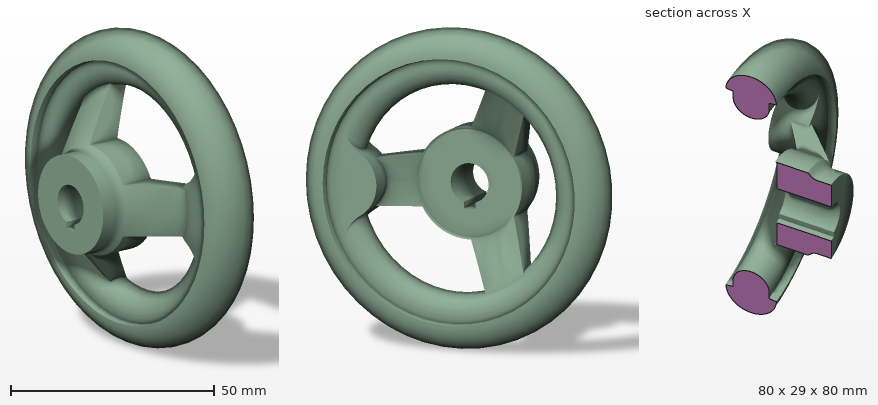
import cadquery as cq
import math


rim_centre_radius = 33.0
rim_section_radius = 7.0
core_centre_radius = 31.0
core_section_radius = 5.0
core_front_y = -core_section_radius
step_taper = 0.3

hub_projection = 15.0
hub_front_y = -rim_section_radius - hub_projection
hub_back_y = -7.0
hub_radius = 14.0
nose_radius = 12.5
nose_fillet = 2.4

cone_root_y = -17.1
cone_end_radius = 24.3

bore_radius = 5.0
key_width = 3.0
key_height = 11.4

spoke_count = 3
spoke_root_radius = 10.0
spoke_root_half_width = 6.7
spoke_tip_radius = 28.5
spoke_tip_half_width = 5.4
spoke_back_root_radius = 13.5
spoke_tip_back_y = 4.0

boss_x = 29.1
boss_radius = 9.2
boss_blend_radius = 8.7
boss_blend_z = 15.2
boss_back_y = core_section_radius


def revolve_about_axle(profile):
    """Turn a (radius, Y) outline fully around the Y axis."""
    return profile.close().revolve(360, (0, 0, 0), (0, 1, 0))


def extrude_along_y(outline, start_y, end_y):
    """Extrude a closed outline drawn on make_plan() between two Y positions."""
    return outline.extrude(end_y - start_y).translate((0, start_y, 0))


def make_plan():
    """Sketch plane whose coordinates are (Z, X) and whose normal is +Y."""
    return cq.Workplane(cq.Plane(origin=(0, 0, 0), xDir=(0, 0, 1), normal=(0, 1, 0)))


def make_rim():
    """Round rim whose inner half is stepped down to the core ring on both faces."""
    mouth_radius = rim_centre_radius + step_taper
    mouth_y = math.sqrt(rim_section_radius**2 - step_taper**2)
    profile = (
        cq.Workplane("XY")
        .moveTo(mouth_radius, -mouth_y)
        .threePointArc(
            (rim_centre_radius + rim_section_radius, 0),
            (mouth_radius, mouth_y),
        )
        .lineTo(rim_centre_radius, core_section_radius)
        .lineTo(core_centre_radius, core_section_radius)
        .threePointArc(
            (core_centre_radius - core_section_radius, 0),
            (core_centre_radius, core_front_y),
        )
        .lineTo(rim_centre_radius, core_front_y)
    )
    return revolve_about_axle(profile)


def cone_y(radius):
    """Y of the conical front at a given radius."""
    slope = (core_front_y - cone_root_y) / (cone_end_radius - nose_radius)
    return cone_root_y + slope * (radius - nose_radius)


def make_blank():
    """Hub and a full web in one turned piece, with a hollow fillet behind the nose."""
    cone_angle = math.atan2(cone_end_radius - nose_radius, core_front_y - cone_root_y)
    tangent_length = nose_fillet * math.tan(cone_angle / 2)
    fillet_start = (nose_radius, cone_root_y - tangent_length)
    fillet_end_radius = nose_radius + tangent_length * math.sin(cone_angle)
    fillet_end = (fillet_end_radius, cone_y(fillet_end_radius))
    profile = (
        cq.Workplane("XY")
        .moveTo(0, hub_front_y)
        .lineTo(nose_radius, hub_front_y)
        .lineTo(*fillet_start)
        .tangentArcPoint(fillet_end, relative=False)
        .lineTo(spoke_tip_radius, cone_y(spoke_tip_radius))
        .lineTo(spoke_tip_radius, spoke_tip_back_y)
        .lineTo(spoke_back_root_radius, hub_back_y)
        .lineTo(0, hub_back_y)
    )
    return revolve_about_axle(profile)


def make_windows():
    """Cutter for the openings between the spokes."""
    end_y = rim_section_radius
    ring = make_plan().circle(rim_centre_radius).circle(hub_radius)
    windows = extrude_along_y(ring, hub_front_y, end_y)
    outline = (
        make_plan()
        .moveTo(-spoke_root_half_width, spoke_root_radius)
        .lineTo(spoke_root_half_width, spoke_root_radius)
        .lineTo(spoke_tip_half_width, rim_centre_radius)
        .lineTo(-spoke_tip_half_width, rim_centre_radius)
        .close()
    )
    spoke_plan = extrude_along_y(outline, hub_front_y, end_y)
    for index in range(spoke_count):
        angle = index * 360 / spoke_count
        windows = windows.cut(spoke_plan.rotate((0, 0, 0), (0, 1, 0), angle))
    return windows


def make_boss():
    """Flat handle boss, level with the front of the core ring."""
    centre_distance = boss_radius + boss_blend_radius
    blend_x = boss_x - math.sqrt(centre_distance**2 - boss_blend_z**2)
    share = boss_radius / centre_distance
    tangent_x = boss_x + share * (blend_x - boss_x)
    tangent_z = share * boss_blend_z
    blend_end_x = blend_x + boss_blend_radius
    middle_angle = math.atan2(tangent_z - boss_blend_z, tangent_x - blend_x) / 2
    blend_middle_x = blend_x + boss_blend_radius * math.cos(middle_angle)
    blend_middle_z = boss_blend_z + boss_blend_radius * math.sin(middle_angle)
    corner_z = math.sqrt(rim_centre_radius**2 - blend_end_x**2)
    outline = (
        make_plan()
        .moveTo(corner_z, blend_end_x)
        .lineTo(boss_blend_z, blend_end_x)
        .threePointArc((blend_middle_z, blend_middle_x), (tangent_z, tangent_x))
        .threePointArc((0, boss_x - boss_radius), (-tangent_z, tangent_x))
        .threePointArc((-blend_middle_z, blend_middle_x), (-boss_blend_z, blend_end_x))
        .lineTo(-corner_z, blend_end_x)
        .threePointArc((0, rim_centre_radius), (corner_z, blend_end_x))
        .close()
    )
    return extrude_along_y(outline, core_front_y, boss_back_y)


def make_keyed_bore():
    """Cutter for the bore and its keyway on the -Z side."""
    length = hub_back_y - hub_front_y
    key_depth = key_height - bore_radius
    bore = extrude_along_y(make_plan().circle(bore_radius), hub_front_y, hub_back_y)
    keyway = cq.Workplane("XY").box(key_width, length, key_depth, centered=(True, False, False))
    return bore.union(keyway.translate((0, hub_front_y, -key_depth)))


centre = make_blank().cut(make_windows())
wheel = make_rim().union(centre).union(make_boss())
result = wheel.cut(make_keyed_bore())